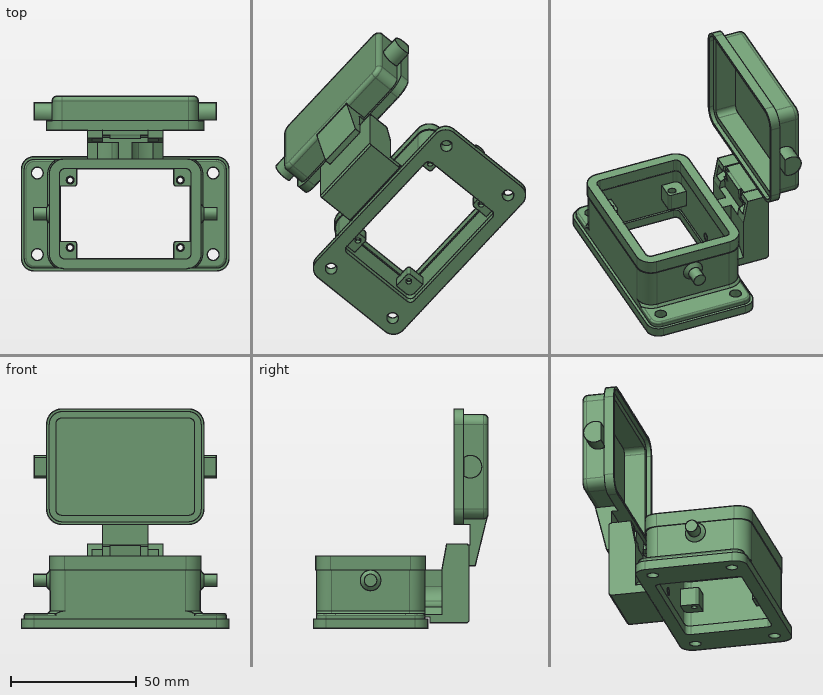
import cadquery as cq
import math

flange_length = 82.5
flange_depth = 45.5
flange_corner = 5.0
plate_top = 3.75
step_inset_x = 1.1
step_inset_y = 1.2
step_top = 5.9
step_rounding = 0.8
mount_hole_dia = 4.6
mount_pitch_x = 69.9
mount_pitch_y = 32.4

housing_top = 28.85
rim_bottom = 23.25
rim_length = 60.3
rim_depth = 43.7
rim_draft_step = 0.3
housing_corner = 6.0
skirt_width = 1.0
upper_opening_x = 52.2
upper_opening_y = 35.9
base_opening_x = 51.4
base_opening_y = 35.5
opening_corner = 2.0
undercut = 0.5

rivet_dia = 3.2
rivet_recess = 0.2
rivet_x = 0.0
rivet_z = 8.1

post_size_x = 6.85
post_size_y = 7.0
post_bottom = 10.0
post_top = 17.3
post_edge_radius = 1.1
post_wall_embed = 1.5
post_hole_x = 21.9
post_hole_y = 13.4
post_hole_dia = 2.3
post_bore_dia = 3.1
post_bore_depth = 4.0

pin_dia = 5.0
pin_tip_x = 36.55
pin_z = 19.05
pin_cone_dia = 8.2
pin_cone_end_x = 31.3
pin_wall_embed = 1.0

block_half_width = 15.0
block_back_y = 39.2
block_front_y = 28.3
block_top_front_y = 30.2
block_top = 33.6
block_bottom = 2.2
block_edge = 0.8
foot_front_y = 23.6
foot_top = 4.5

neck_half_width = 2.7
neck_straight_end = 16.7
neck_bend = (5.3, 10.8)
neck_flare = (11.0, 8.6)
neck_flare_mid = (8.0, 9.3)
neck_edge_z = 5.6
neck_wall_y = 21.0

tongue_half_width = 9.05
tongue_top = 33.2
tongue_front_y = 30.0
tongue_crease_y = 31.3
tongue_nose_drop = 0.2
tongue_root_y = 30.9
tongue_nose_half_width = 6.0
tongue_shoulder_y = 30.95
tongue_shoulder_bottom = 28.5
tongue_chamfer_z = 0.6

ear_pocket_outer_x = 13.2
ear_pocket_top = 31.4
ear_pocket_back_y = 32.0
ear_pocket_back_z = 28.0
ear_pocket_front_z = 26.3

total_height = 87.25
total_depth = 69.5
lid_length = 62.6
lid_height = 46.0
lid_corner = 6.2
lid_face_y = 33.15
lid_flange_back_y = 37.0
lid_back_y = total_depth - flange_depth / 2
lid_z = total_height - lid_height / 2
cover_inset = 2.25
cover_corner = 4.0
cover_rounding = 1.9
seal_inset = 1.1
seal_depth = 1.8
cavity_inset = 3.7
cavity_corner = 2.3
cavity_floor_y = 43.4

trunnion_dia = 9.0
trunnion_length = 72.4
trunnion_y = 39.7
trunnion_flat_y = 37.2
arm_inner_y = 39.5
arm_bottom = 24.8
arm_bottom_back_y = 41.6
arm_top = 44.0
arm_top_back_y = 46.3


def rounded_bar(size_x, size_y, corner, z_low, z_high):
    """Upright bar with rounded vertical edges, centred on Z."""
    bar = cq.Workplane("XY").workplane(offset=z_low).rect(size_x, size_y).extrude(z_high - z_low)
    return bar.edges("|Z").fillet(corner)


def box_between(low, high):
    """Box spanning two opposite corner points."""
    sizes = [b - a for a, b in zip(low, high)]
    return cq.Workplane("XY").box(*sizes, centered=False).translate(low)


def extrude_along_x(points, x_low, x_high):
    """Prism with a (y, z) outline."""
    return cq.Workplane("YZ").workplane(offset=x_low).polyline(points).close().extrude(x_high - x_low)


def lid_layer(inset, corner, y_front, y_back):
    """Rounded slab lying in the plane of the open lid."""
    slab = cq.Workplane("XZ").workplane(offset=-y_front)
    slab = slab.center(0, lid_z).rect(lid_length - 2 * inset, lid_height - 2 * inset)
    return slab.extrude(-(y_back - y_front)).edges("|Y").fillet(corner)


def make_flange():
    plate = rounded_bar(flange_length, flange_depth, flange_corner, 0, plate_top)
    step_x = flange_length - 2 * step_inset_x
    step_y = flange_depth - 2 * step_inset_y
    step = rounded_bar(step_x, step_y, flange_corner - step_inset_y, 0, step_top)
    return plate.union(step.faces(">Z").edges().fillet(step_rounding))


def make_housing():
    wall_x = rim_length - 2 * rim_draft_step
    wall_y = flange_depth - 2 * step_inset_y
    wall = rounded_bar(wall_x, wall_y, housing_corner, 0, rim_bottom)
    rim = rounded_bar(rim_length, rim_depth, housing_corner, rim_bottom, housing_top)
    skirt = rounded_bar(
        wall_x + 2 * skirt_width,
        wall_y + 2 * skirt_width,
        housing_corner + skirt_width,
        plate_top,
        step_top + skirt_width,
    )
    skirt = skirt.faces(">Z").edges().chamfer(skirt_width)
    skirt = skirt.intersect(cq.Workplane("XY").box(flange_length, wall_y, 2 * housing_top))
    return wall.union(rim).union(skirt)


def make_opening():
    """Through opening, slightly wider between the base plate and the rim."""
    upper = rounded_bar(upper_opening_x, upper_opening_y, opening_corner, rim_bottom, housing_top)
    middle = rounded_bar(
        upper_opening_x + 2 * undercut,
        upper_opening_y + 2 * undercut,
        opening_corner + undercut,
        plate_top,
        rim_bottom,
    )
    base = rounded_bar(base_opening_x, base_opening_y, opening_corner, 0, plate_top)
    return upper.union(middle).union(base)


def make_rivet_recess():
    wall_y = upper_opening_y / 2 + undercut
    recess = cq.Workplane("XZ", origin=(rivet_x, wall_y, rivet_z))
    return recess.circle(rivet_dia / 2).extrude(-rivet_recess)


def make_post(side_x, side_y):
    """Corner post with its outer sides sunk into the housing walls."""
    size_x = post_size_x + post_wall_embed
    size_y = post_size_y + post_wall_embed
    center_x = upper_opening_x / 2 - post_size_x + size_x / 2
    center_y = upper_opening_y / 2 - post_size_y + size_y / 2
    post = cq.Workplane("XY").workplane(offset=post_bottom).center(center_x, center_y)
    post = post.rect(size_x, size_y).extrude(post_top - post_bottom)
    post = post.edges("|Z").edges("<XY").fillet(post_edge_radius)
    post = post.faces(">Z").workplane(origin=(post_hole_x, post_hole_y, post_top))
    post = post.cboreHole(post_hole_dia, post_bore_dia, post_bore_depth)
    if side_x < 0:
        post = post.mirror("YZ")
    if side_y < 0:
        post = post.mirror("XZ")
    return post


def make_pin(side):
    cone_start_x = rim_length / 2 - rim_draft_step
    plane = cq.Workplane("YZ").center(0, pin_z)
    pin = plane.workplane(offset=cone_start_x - pin_wall_embed).circle(pin_dia / 2)
    pin = pin.extrude(pin_tip_x - cone_start_x + pin_wall_embed)
    cone = plane.workplane(offset=cone_start_x).circle(pin_cone_dia / 2)
    cone = cone.workplane(offset=pin_cone_end_x - cone_start_x).circle(pin_dia / 2).loft()
    pin = pin.union(cone)
    return pin if side > 0 else pin.mirror("YZ")


def make_mount_holes():
    holes = cq.Workplane("XY").rect(mount_pitch_x, mount_pitch_y, forConstruction=True).vertices()
    return holes.circle(mount_hole_dia / 2).extrude(step_top)


def slope_y(z):
    """Depth position of the sloping upper front face of the hinge block at a height."""
    fraction = (z - rim_bottom) / (block_top - rim_bottom)
    return block_front_y + fraction * (block_top_front_y - block_front_y)


def make_hinge_block():
    outline = [
        (block_back_y - block_edge, block_bottom),
        (foot_front_y, block_bottom),
        (foot_front_y, foot_top),
        (block_front_y, foot_top),
        (block_front_y, rim_bottom),
        (block_top_front_y, block_top),
        (block_back_y - block_edge, block_top),
        (block_back_y, block_top - block_edge),
        (block_back_y, block_bottom + block_edge),
    ]
    block = extrude_along_x(outline, -block_half_width, block_half_width)
    slot = box_between(
        (-tongue_half_width, block_front_y, rim_bottom),
        (tongue_half_width, block_back_y, block_top),
    )
    return block.cut(slot)


def make_ear_pocket(side):
    outline = [
        (block_front_y, ear_pocket_top),
        (ear_pocket_back_y, ear_pocket_top),
        (ear_pocket_back_y, ear_pocket_back_z),
        (slope_y(ear_pocket_front_z), ear_pocket_front_z),
        (block_front_y, ear_pocket_front_z),
    ]
    pocket = extrude_along_x(outline, tongue_half_width, ear_pocket_outer_x)
    return pocket if side > 0 else pocket.mirror("YZ")


def make_neck():
    """Stem with flared lower sides, running from the housing wall into the hinge block."""
    run = neck_bend[0] - neck_half_width
    drop = neck_straight_end - neck_bend[1]
    turn = 2 * math.atan2(run, drop)
    radius = drop / math.sin(turn)
    bend_mid = (
        neck_half_width + radius * (1 - math.cos(turn / 2)),
        neck_straight_end - radius * math.sin(turn / 2),
    )
    half = (
        cq.Workplane("XZ", origin=(0, block_front_y, 0))
        .moveTo(0, foot_top)
        .lineTo(block_half_width, foot_top)
        .lineTo(block_half_width, neck_edge_z)
        .lineTo(*neck_flare)
        .threePointArc(neck_flare_mid, neck_bend)
        .threePointArc(bend_mid, (neck_half_width, neck_straight_end))
        .lineTo(neck_half_width, rim_bottom)
        .lineTo(0, rim_bottom)
        .close()
        .extrude(block_front_y - neck_wall_y)
    )
    return half.union(half.mirror("YZ"))


def make_tongue():
    """Tongue filling the slot of the hinge block: raked nose with a set-back shoulder each side."""
    raked = [
        (tongue_front_y, tongue_top - tongue_nose_drop),
        (tongue_crease_y, tongue_top),
        (block_back_y, tongue_top),
        (block_back_y, rim_bottom),
        (tongue_root_y, rim_bottom),
    ]
    tongue = extrude_along_x(raked, -tongue_half_width, tongue_half_width)
    removed = [
        (tongue_front_y, tongue_shoulder_bottom),
        (tongue_shoulder_y, tongue_shoulder_bottom),
        (tongue_shoulder_y, tongue_top - tongue_chamfer_z),
        (tongue_crease_y, tongue_top),
        (tongue_front_y, tongue_top),
    ]
    shoulder = extrude_along_x(removed, tongue_nose_half_width, tongue_half_width)
    return tongue.cut(shoulder).cut(shoulder.mirror("YZ"))


def make_arm():
    outline = [
        (block_back_y, arm_bottom),
        (arm_bottom_back_y, arm_bottom),
        (arm_top_back_y, arm_top),
        (lid_flange_back_y, arm_top),
        (lid_flange_back_y, total_height - lid_height),
        (arm_inner_y, total_height - lid_height),
        (arm_inner_y, tongue_top),
        (block_back_y, tongue_top),
    ]
    return extrude_along_x(outline, -tongue_half_width, tongue_half_width)


def make_lid():
    flange = lid_layer(0, lid_corner, lid_face_y, lid_flange_back_y)
    cover = lid_layer(cover_inset, cover_corner, lid_flange_back_y, lid_back_y)
    cover = cover.faces(">Y").edges().fillet(cover_rounding)
    seal_floor_y = lid_face_y + seal_depth
    seal_recess = lid_layer(seal_inset, lid_corner - seal_inset, lid_face_y, seal_floor_y)
    cavity = lid_layer(cavity_inset, cavity_corner, seal_floor_y, cavity_floor_y)
    return flange.union(cover).union(make_trunnions()).union(make_arm()).cut(seal_recess).cut(cavity)


def make_trunnions():
    """Round bar across the lid, flattened on the side facing the lid flange."""
    bar = cq.Workplane("YZ").workplane(offset=-trunnion_length / 2).center(trunnion_y, lid_z)
    bar = bar.circle(trunnion_dia / 2).extrude(trunnion_length)
    keep = box_between(
        (-trunnion_length / 2, trunnion_flat_y, lid_z - trunnion_dia),
        (trunnion_length / 2, lid_back_y, lid_z + trunnion_dia),
    )
    return bar.intersect(keep)


def make_part():
    part = make_flange().union(make_housing()).cut(make_opening())
    part = part.cut(make_mount_holes()).cut(make_rivet_recess())
    for side_x in (-1, 1):
        part = part.union(make_pin(side_x))
        for side_y in (-1, 1):
            part = part.union(make_post(side_x, side_y))
    hinge = make_hinge_block()
    for side in (-1, 1):
        hinge = hinge.cut(make_ear_pocket(side))
    hinge = hinge.union(make_tongue()).union(make_neck())
    return part.union(hinge).union(make_lid())


result = make_part()